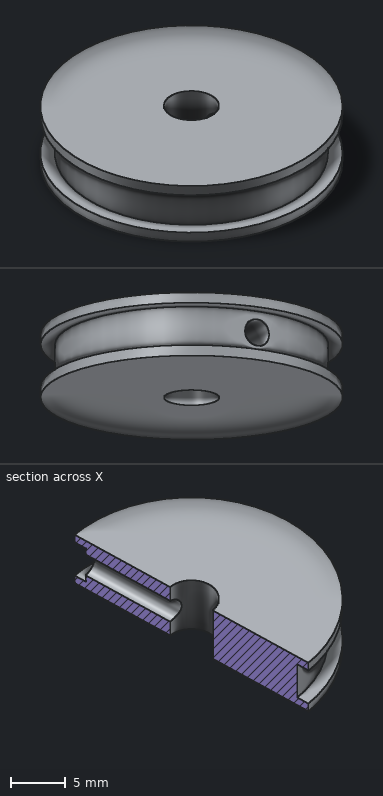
import cadquery as cq

flange_diameter = 27.5
groove_diameter = 24.9
bore_diameter = 5.0
cross_hole_diameter = 2.5
total_height = 6.0
flange_thickness = 1.0

groove_height = total_height - 2 * flange_thickness


def disc(diameter, height):
    """Disc centred on the origin, with its axis along Z."""
    return cq.Workplane("XY").cylinder(height, diameter / 2)


groove = disc(flange_diameter, groove_height).cut(disc(groove_diameter, groove_height))
spool = disc(flange_diameter, total_height).cut(groove)

bore = disc(bore_diameter, total_height)

cross_hole = (
    cq.Workplane("XZ")
    .circle(cross_hole_diameter / 2)
    .extrude(-flange_diameter / 2)
)

result = spool.cut(bore).cut(cross_hole)